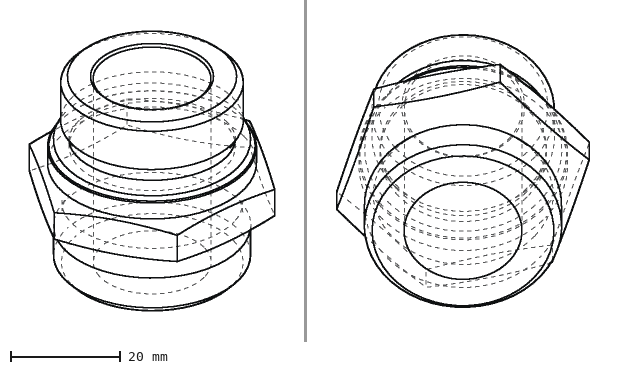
import cadquery as cq
import math

TOTAL_HEIGHT = 40.1
LOWER_CYLINDER_TOP = 8.0
HEX_BOTTOM = 14.0
HEX_TOP = 21.45
COLLAR_TOP = 25.15
UPPER_CYLINDER_BOTTOM = 30.6

LOWER_RADIUS = 36 / 2
NECK_RADIUS = 33.0 / 2
COLLAR_RADIUS = 38.1 / 2
GROOVE_RADIUS = 30.35 / 2
UPPER_RADIUS = 33.35 / 2
BORE_RADIUS = 21.5 / 2

LOWER_CHAMFER_WIDTH = 1.4
LOWER_CHAMFER_HEIGHT = 1.55
UPPER_CHAMFER = 1.25
COLLAR_CHAMFER = 0.25
BORE_CHAMFER = 0.45
RELIEF_FILLET = 1.15
RELIEF_ANGLE = math.radians(30)

HEX_CORNER_DIAMETER = 47.35
HEX_FLAT_RADIUS = HEX_CORNER_DIAMETER / 2 * math.cos(math.radians(30))
HEX_CHAMFER_RADIUS = HEX_FLAT_RADIUS - 0.1
HEX_CHAMFER_ANGLE = math.radians(15)

RING_OUTER_RADIUS = 36 / 2
RING_TUBE_RADIUS = (RING_OUTER_RADIUS - GROOVE_RADIUS) / 2


def relief_blend(floor_radius, cone_radius, cone_height, direction):
    """Find the arc joining a relief cone to its cylindrical floor.

    The cone starts at cone_radius and cone_height and narrows along direction
    (+1 up, -1 down). Returns the arc's start, middle and end as (radius, height).
    """
    arc_start_radius = floor_radius + RELIEF_FILLET * (1 - math.cos(RELIEF_ANGLE))
    cone_length = (cone_radius - arc_start_radius) / math.tan(RELIEF_ANGLE)
    arc_end_height = cone_height + direction * (cone_length + RELIEF_FILLET * math.sin(RELIEF_ANGLE))

    def arc_point(angle):
        return (
            floor_radius + RELIEF_FILLET * (1 - math.cos(angle)),
            arc_end_height - direction * RELIEF_FILLET * math.sin(angle),
        )

    return arc_point(RELIEF_ANGLE), arc_point(RELIEF_ANGLE / 2), arc_point(0)


def make_turned_body():
    """Revolve the outer profile of the fitting, without the hexagon."""
    neck_start, neck_middle, neck_end = relief_blend(NECK_RADIUS, LOWER_RADIUS, LOWER_CYLINDER_TOP, 1)
    groove_start, groove_middle, groove_end = relief_blend(
        GROOVE_RADIUS, UPPER_RADIUS, UPPER_CYLINDER_BOTTOM, -1
    )
    fillet_inset = RELIEF_FILLET * (1 - math.sqrt(0.5))
    profile = (
        cq.Workplane("XZ")
        .moveTo(0, 0)
        .lineTo(LOWER_RADIUS - LOWER_CHAMFER_WIDTH, 0)
        .lineTo(LOWER_RADIUS, LOWER_CHAMFER_HEIGHT)
        .lineTo(LOWER_RADIUS, LOWER_CYLINDER_TOP)
        .lineTo(*neck_start)
        .threePointArc(neck_middle, neck_end)
        .lineTo(NECK_RADIUS, HEX_BOTTOM - RELIEF_FILLET)
        .threePointArc(
            (NECK_RADIUS + fillet_inset, HEX_BOTTOM - fillet_inset),
            (NECK_RADIUS + RELIEF_FILLET, HEX_BOTTOM),
        )
        .lineTo(COLLAR_RADIUS, HEX_BOTTOM)
        .lineTo(COLLAR_RADIUS, COLLAR_TOP - COLLAR_CHAMFER)
        .lineTo(COLLAR_RADIUS - COLLAR_CHAMFER, COLLAR_TOP)
        .lineTo(GROOVE_RADIUS, COLLAR_TOP)
        .lineTo(*groove_end)
        .threePointArc(groove_middle, groove_start)
        .lineTo(UPPER_RADIUS, UPPER_CYLINDER_BOTTOM)
        .lineTo(UPPER_RADIUS, TOTAL_HEIGHT - UPPER_CHAMFER)
        .lineTo(UPPER_RADIUS - UPPER_CHAMFER, TOTAL_HEIGHT)
        .lineTo(0, TOTAL_HEIGHT)
        .close()
    )
    return profile.revolve(360, (0, 0, 0), (0, 1, 0))


def make_hexagon():
    """Make the hexagon with corners on Y, its corners chamfered on both faces."""
    hexagon = (
        cq.Workplane("XY", origin=(0, 0, HEX_BOTTOM))
        .polygon(6, HEX_CORNER_DIAMETER)
        .extrude(HEX_TOP - HEX_BOTTOM)
        .rotate((0, 0, 0), (0, 0, 1), 90)
    )
    corner_radius = HEX_CORNER_DIAMETER / 2
    chamfer_drop = (corner_radius - HEX_CHAMFER_RADIUS) * math.tan(HEX_CHAMFER_ANGLE)
    chamfer_envelope = (
        cq.Workplane("XZ")
        .moveTo(0, HEX_BOTTOM)
        .lineTo(HEX_CHAMFER_RADIUS, HEX_BOTTOM)
        .lineTo(corner_radius, HEX_BOTTOM + chamfer_drop)
        .lineTo(corner_radius, HEX_TOP - chamfer_drop)
        .lineTo(HEX_CHAMFER_RADIUS, HEX_TOP)
        .lineTo(0, HEX_TOP)
        .close()
        .revolve(360, (0, 0, 0), (0, 1, 0))
    )
    return hexagon.intersect(chamfer_envelope)


def make_bore():
    """Make the through bore cutter with a chamfered upper mouth."""
    return (
        cq.Workplane("XZ")
        .moveTo(0, 0)
        .lineTo(BORE_RADIUS, 0)
        .lineTo(BORE_RADIUS, TOTAL_HEIGHT - BORE_CHAMFER)
        .lineTo(BORE_RADIUS + BORE_CHAMFER, TOTAL_HEIGHT)
        .lineTo(0, TOTAL_HEIGHT)
        .close()
        .revolve(360, (0, 0, 0), (0, 1, 0))
    )


def make_fitting():
    return make_turned_body().union(make_hexagon()).cut(make_bore())


def make_sealing_ring():
    ring = cq.Solid.makeTorus(RING_OUTER_RADIUS - RING_TUBE_RADIUS, RING_TUBE_RADIUS)
    return ring.translate(cq.Vector(0, 0, COLLAR_TOP + RING_TUBE_RADIUS))


fitting = make_fitting()
sealing_ring = make_sealing_ring()

result = cq.Compound.makeCompound([fitting.solids().val(), sealing_ring])